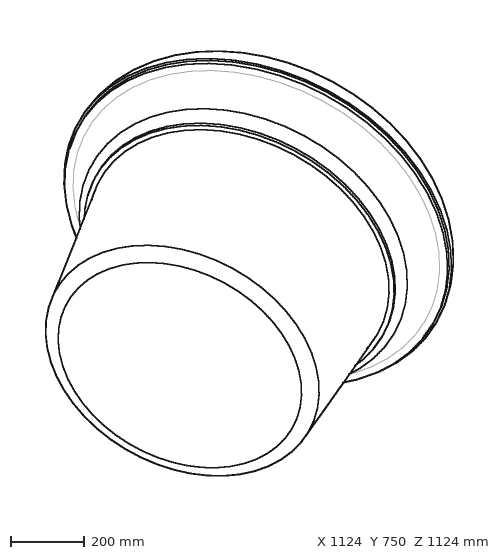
import cadquery as cq
import math

rim_radius = 562.0
rim_round = 101.0
lip_radius = 556.0
neck_radius = 450.0
body_large_radius = 435.0
body_small_radius = 397.0
end_face_radius = 353.0

total_length = 750.0
lip_height = 13.0
cove_radius = 82.0
bead_radius = 25.0
collar_height = 10.0
end_bevel_length = 20.0

lip_top = -rim_round
lip_bottom = lip_top - lip_height
bead_top = lip_bottom - cove_radius
bead_middle = bead_top - bead_radius
bead_bottom = bead_middle - bead_radius
collar_bottom = bead_bottom - collar_height
narrow_end = -total_length
bevel_start = narrow_end + end_bevel_length

half_quarter = math.sqrt(0.5)
rim_mid = (
    rim_radius - rim_round * (1 - half_quarter),
    lip_top + rim_round * half_quarter,
)
cove_outer_radius = neck_radius + cove_radius
cove_mid = (
    cove_outer_radius - cove_radius * half_quarter,
    bead_top + cove_radius * half_quarter,
)

profile = (
    cq.Workplane("XY")
    .moveTo(0, 0)
    .lineTo(rim_radius - rim_round, 0)
    .threePointArc(rim_mid, (rim_radius, lip_top))
    .lineTo(lip_radius, lip_top)
    .lineTo(lip_radius, lip_bottom)
    .lineTo(cove_outer_radius, lip_bottom)
    .threePointArc(cove_mid, (neck_radius, bead_top))
    .threePointArc((neck_radius + bead_radius, bead_middle), (neck_radius, bead_bottom))
    .lineTo(neck_radius, collar_bottom)
    .lineTo(body_large_radius, collar_bottom)
    .lineTo(body_small_radius, bevel_start)
    .lineTo(end_face_radius, narrow_end)
    .lineTo(0, narrow_end)
    .close()
)

start_angle = -90
result = profile.revolve(360, (0, 0, 0), (0, 1, 0)).rotate((0, 0, 0), (0, 1, 0), start_angle)